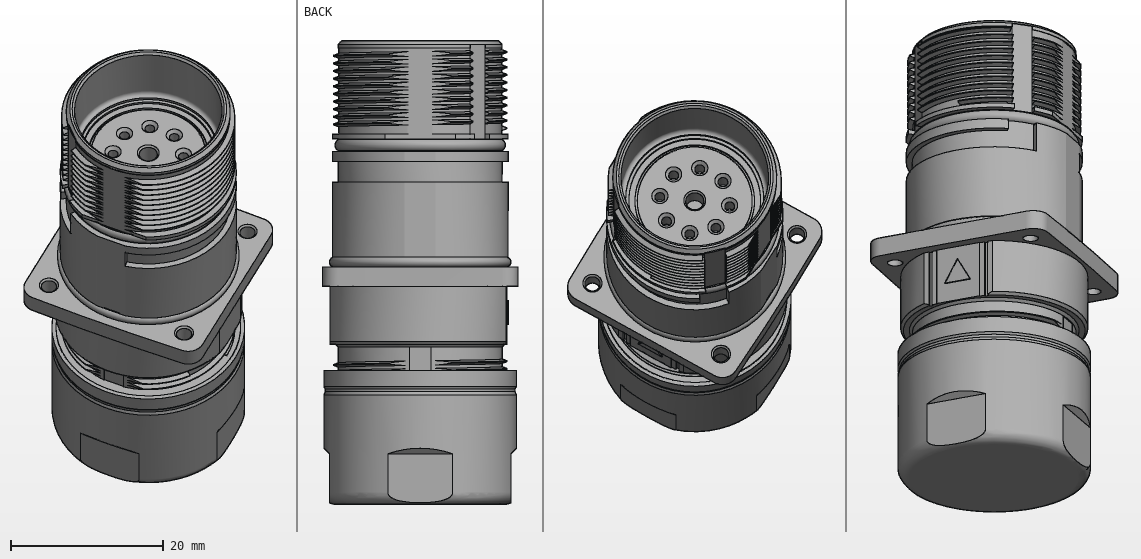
import cadquery as cq
import math

nut_top = 17.6
body_bottom = 21.0
flange_bottom = 28.65
flange_top = 31.2
collar_bottom = 32.5
recess_bottom = 42.35
rim_bottom = 45.05
collar_top = 46.4
seal_top = 48.0
relief_top = 60.0
total_height = 60.95

nut_radius = 12.7
body_radius = 12.3
collar_radius = 11.6
core_radius = 10.8
crest_radius = 11.4

nut_edge_radius = 1.5
nut_groove_depth = 0.2
nut_groove_top = 15.5
nut_groove_floor_top = 15.2
nut_groove_floor_bottom = 14.8
nut_groove_bottom = 14.4
nut_recess_radius = 12.1
nut_recess_depth = 0.3
wrench_flat_offset = 11.95
wrench_flat_top = 6.65
wrench_ledge_rise = 0.75
ledge_reach = nut_radius - wrench_flat_offset

body_chamfer = 0.35
pad_offset = 11.4
pad_half_width = 3.1
side_flat_offset = 11.3
side_groove_inner = 3.8
side_groove_outer = 4.25
side_groove_depth = 0.3
arrow_base_z = 23.65
arrow_height = 3.15
arrow_half_width = 1.8
arrow_relief = 0.2
key_flat_offset = 11.9

flange_size = 25.7
flange_bow = 0.25
flange_corner = 2.1
mount_hole_offset = 9.8
mount_hole_diameter = 2.0
mount_hole_chamfer = 0.25

collar_flat_offset = 11.4
recess_start = -80.0
recess_end = 233.4
rim_end = 214.0

lower_ring_outer = 11.95
upper_ring_outer = 11.2

thread_start_z = 49.4
thread_start_angle = 180
thread_length = 10.1
thread_turns = 10.1
thread_pitch = thread_length / thread_turns
thread_root_width = 0.75
thread_crest_width = 0.1
thread_embed = 0.2
thread_relief = 0.05
relief_radius = core_radius - thread_relief
neck_thread_start_z = 17.3
neck_thread_start_angle = 0
neck_thread_turns = 1.9
stop_ring_radius = 11.6
stop_ring_height = 0.6
slot_offset = 10.6
y_flat_width = 2 * math.sqrt(relief_radius**2 - slot_offset**2)
diagonal_slot_width = 2.8
neck_slot_width = 2.8
diagonal_slot_angles = (135, 225)

front_slots = {90: y_flat_width, 135: diagonal_slot_width, 225: diagonal_slot_width, 270: y_flat_width}
neck_slots = {90: neck_slot_width, 270: neck_slot_width}

neck_cone_radius = 11.15
neck_cone_height = 0.35

top_chamfer = 0.5
mouth_radius = 10.0
bore_radius = 9.7
bore_mouth_depth = 0.3
ledge_z = 53.45
insert_z = 52.2
insert_edge_radius = 8.65
seat_radius = 9.1
seat_z = 52.5
ledge_round = bore_radius - seat_radius
insert_groove_outer = 7.85
insert_groove_inner = 7.55
insert_groove_depth = 0.3
contact_count = 8
contact_circle_radius = 4.65
contact_diameter = 1.3
contact_mouth_diameter = 2.15
centre_diameter = 2.4
centre_mouth_diameter = 2.85
contact_depth = 3.05

overlap = 0.6
cutter_radius = 18.3


def cylinder(radius, bottom, top):
    return cq.Workplane("XY").workplane(offset=bottom).circle(radius).extrude(top - bottom)


def tube(outer, inner, bottom, top):
    return (
        cq.Workplane("XY").workplane(offset=bottom)
        .circle(outer).circle(inner).extrude(top - bottom)
    )


def radial_block(inner, outer, width, bottom, top, angle):
    """Block with one face square to the radius at `inner`, turned to `angle` degrees."""
    block = cq.Workplane("XY").box(outer - inner, width, top - bottom, centered=(False, True, False))
    return block.translate((inner, 0, bottom)).rotate((0, 0, 0), (0, 0, 1), angle)


def ring_sector(inner, outer, bottom, top, start, end):
    """Part of a ring between two angles in degrees."""
    middle = (start + end) / 2

    def polar(radius, angle):
        turn = math.radians(angle)
        return radius * math.cos(turn), radius * math.sin(turn)

    return (
        cq.Workplane("XY").workplane(offset=bottom)
        .moveTo(*polar(inner, start))
        .lineTo(*polar(outer, start))
        .threePointArc(polar(outer, middle), polar(outer, end))
        .lineTo(*polar(inner, end))
        .threePointArc(polar(inner, middle), polar(inner, start))
        .close()
        .extrude(top - bottom)
    )


def o_ring(outer_radius, bottom, top):
    """Ring with a round section that fills the gap between two heights."""
    section_radius = (top - bottom) / 2
    return (
        cq.Workplane("XZ")
        .center(outer_radius - section_radius, (bottom + top) / 2)
        .circle(section_radius)
        .revolve(360, (section_radius - outer_radius, 0), (section_radius - outer_radius, 1))
    )


def thread_ridge(start_z, start_angle, end_angle):
    """Right-hand helical ridge between two angles; `start_z` is its height at `start_angle`."""
    height = thread_pitch * (end_angle - start_angle) / 360
    inner = core_radius - thread_embed
    path = cq.Workplane(cq.Wire.makeHelix(thread_pitch, height, core_radius))
    ridge = (
        cq.Workplane("XZ")
        .polyline([
            (inner, -thread_root_width / 2),
            (crest_radius, -thread_crest_width / 2),
            (crest_radius, thread_crest_width / 2),
            (inner, thread_root_width / 2),
        ])
        .close()
        .sweep(path, isFrenet=True)
    )
    ridge = ridge.rotate((0, 0, 0), (0, 0, 1), start_angle).translate((0, 0, start_z))
    ridge = cut_y_flats(ridge, 2 * cutter_radius, start_z - thread_pitch, start_z + height + thread_pitch)
    return ridge.val()


def cut_y_flats(shape, width, bottom, top):
    """Flatten both Y sides of a neck or its thread between two heights."""
    for angle in (90, 270):
        shape = shape.cut(radial_block(slot_offset, cutter_radius, width, bottom, top, angle))
    return shape


def interrupted_thread(start_z, turns, start_angle, slot_widths):
    """Ridges of one helix, left out wherever a slot (angle: width) crosses it."""
    end_angle = start_angle + 360 * turns
    ridges = []
    ridge_start = start_angle
    for turn in range(math.ceil(end_angle / 360) + 1):
        for slot_angle, width in slot_widths.items():
            slot_centre = 360 * turn + slot_angle
            half_gap = math.degrees(math.asin(width / 2 / relief_radius))
            ridge_end = min(slot_centre - half_gap, end_angle)
            if ridge_end > ridge_start:
                climb = thread_pitch * (ridge_start - start_angle) / 360
                ridges.append(thread_ridge(start_z + climb, ridge_start, ridge_end))
            ridge_start = max(ridge_start, slot_centre + half_gap)
    return ridges


def hole_with_cone(x, y, diameter, mouth_diameter):
    """Cutter for a blind contact hole with a 45 degree countersink in the insert face."""
    cone_depth = (mouth_diameter - diameter) / 2
    return (
        cq.Workplane("XZ")
        .polyline([
            (0, insert_z - contact_depth),
            (diameter / 2, insert_z - contact_depth),
            (diameter / 2, insert_z - cone_depth),
            (mouth_diameter / 2, insert_z),
            (0, insert_z),
        ])
        .close()
        .revolve(360, (0, 0), (0, 1))
        .translate((x, y, 0))
    )


def make_nut():
    groove_radius = nut_radius - nut_groove_depth
    nut = (
        cq.Workplane("XZ")
        .moveTo(0, 0)
        .lineTo(nut_radius - nut_edge_radius, 0)
        .radiusArc((nut_radius, nut_edge_radius), -nut_edge_radius)
        .lineTo(nut_radius, nut_groove_bottom)
        .lineTo(groove_radius, nut_groove_floor_bottom)
        .lineTo(groove_radius, nut_groove_floor_top)
        .lineTo(nut_radius, nut_groove_top)
        .lineTo(nut_radius, nut_top)
        .lineTo(nut_recess_radius, nut_top)
        .lineTo(nut_recess_radius, nut_top - nut_recess_depth)
        .lineTo(0, nut_top - nut_recess_depth)
        .close()
        .revolve(360, (0, 0), (0, 1))
    )
    flat_cutter = (
        cq.Workplane("XZ")
        .polyline([
            (wrench_flat_offset, -overlap),
            (wrench_flat_offset, wrench_flat_top),
            (wrench_flat_offset + ledge_reach, wrench_flat_top + wrench_ledge_rise),
            (cutter_radius, wrench_flat_top + wrench_ledge_rise),
            (cutter_radius, -overlap),
        ])
        .close()
        .extrude(nut_radius, both=True)
    )
    for angle in (0, 90, 180, 270):
        nut = nut.cut(flat_cutter.rotate((0, 0, 0), (0, 0, 1), angle))
    return nut


def make_rear_body():
    body = cylinder(body_radius, body_bottom, flange_bottom).faces("<Z").chamfer(body_chamfer)

    for side in (-1, 1):
        flat_width = body_radius - pad_half_width
        flat = radial_block(side_flat_offset, cutter_radius, flat_width, body_bottom, flange_bottom, 180)
        body = body.cut(flat.translate((0, side * (pad_half_width + flat_width / 2), 0)))
        groove_width = side_groove_outer - side_groove_inner
        groove = radial_block(
            side_flat_offset - side_groove_depth, cutter_radius, groove_width,
            body_bottom, flange_bottom, 180,
        )
        body = body.cut(groove.translate((0, side * (side_groove_inner + groove_width / 2), 0)))
    body = body.cut(
        radial_block(pad_offset, cutter_radius, 2 * pad_half_width, body_bottom, flange_bottom, 180)
    )
    arrow = (
        cq.Workplane("YZ").workplane(offset=-pad_offset - arrow_relief)
        .polyline([
            (-arrow_half_width, arrow_base_z),
            (arrow_half_width, arrow_base_z),
            (0, arrow_base_z + arrow_height),
        ])
        .close()
        .extrude(arrow_relief + overlap)
    )
    key_flat = radial_block(
        key_flat_offset, cutter_radius, 2 * body_radius, body_bottom, flange_bottom, 0
    )
    return body.cut(key_flat).union(arrow)


def make_flange():
    """Square plate with two bowed sides and four countersunk mounting holes."""
    half = flange_size / 2
    side_y = half - flange_bow
    flange = (
        cq.Workplane("XY").workplane(offset=flange_bottom)
        .moveTo(-half, -side_y)
        .threePointArc((0, -half), (half, -side_y))
        .lineTo(half, side_y)
        .threePointArc((0, half), (-half, side_y))
        .close()
        .extrude(flange_top - flange_bottom)
        .edges("|Z").fillet(flange_corner)
    )
    return (
        flange.faces(">Z").workplane(origin=(0, 0, flange_top))
        .rect(2 * mount_hole_offset, 2 * mount_hole_offset, forConstruction=True)
        .vertices()
        .cskHole(mount_hole_diameter, mount_hole_diameter + 2 * mount_hole_chamfer, 90)
    )


def make_collar():
    collar = cylinder(collar_radius, collar_bottom, collar_top)
    for angle in (90, 270):
        collar = collar.cut(
            radial_block(
                collar_flat_offset, cutter_radius, 2 * collar_radius,
                collar_bottom, collar_top, angle,
            )
        )
    recess = ring_sector(
        core_radius, cutter_radius, recess_bottom, rim_bottom, recess_start, recess_end
    )
    entry = ring_sector(core_radius, cutter_radius, rim_bottom, collar_top, rim_end, recess_end)
    return collar.cut(recess).cut(entry)


def make_front_neck():
    stop_ring_top = seal_top + stop_ring_height
    neck = (
        cq.Workplane("XZ")
        .polyline([
            (0, flange_top),
            (core_radius, flange_top),
            (core_radius, seal_top),
            (stop_ring_radius, seal_top),
            (stop_ring_radius, stop_ring_top),
            (relief_radius, stop_ring_top),
            (relief_radius, relief_top),
            (core_radius, relief_top),
            (core_radius, total_height - top_chamfer),
            (core_radius - top_chamfer, total_height),
            (0, total_height),
        ])
        .close()
        .revolve(360, (0, 0), (0, 1))
    )
    neck = cut_y_flats(neck, 2 * cutter_radius, seal_top, relief_top)
    slot_top = total_height - top_chamfer
    for angle in diagonal_slot_angles:
        neck = neck.cut(
            radial_block(slot_offset, cutter_radius, diagonal_slot_width, seal_top, slot_top, angle)
        )
    return neck


def make_rear_neck():
    neck = cylinder(core_radius, nut_top - overlap, body_bottom + overlap)
    cone_bottom = body_bottom - neck_cone_height
    neck = cut_y_flats(neck, neck_slot_width, nut_top - overlap, cone_bottom)
    cone = (
        cq.Workplane("XZ")
        .polyline([
            (0, cone_bottom),
            (core_radius, cone_bottom),
            (neck_cone_radius, body_bottom),
            (0, body_bottom),
        ])
        .close()
        .revolve(360, (0, 0), (0, 1))
    )
    return neck.union(cone)


def make_socket_cutter():
    mouth_z = total_height - bore_mouth_depth
    socket = (
        cq.Workplane("XZ")
        .moveTo(0, insert_z)
        .lineTo(insert_edge_radius, insert_z)
        .lineTo(insert_edge_radius, seat_z)
        .lineTo(seat_radius, seat_z)
        .lineTo(seat_radius, ledge_z - ledge_round)
        .radiusArc((bore_radius, ledge_z), -ledge_round)
        .lineTo(bore_radius, mouth_z)
        .lineTo(mouth_radius, total_height)
        .lineTo(0, total_height)
        .close()
        .revolve(360, (0, 0), (0, 1))
    )
    insert_groove = tube(
        insert_groove_outer, insert_groove_inner, insert_z - insert_groove_depth, insert_z
    )
    cutter = socket.union(insert_groove)
    cutter = cutter.union(hole_with_cone(0, 0, centre_diameter, centre_mouth_diameter))
    for index in range(contact_count):
        angle = 2 * math.pi * (index + 0.5) / contact_count
        x = contact_circle_radius * math.cos(angle)
        y = contact_circle_radius * math.sin(angle)
        cutter = cutter.union(hole_with_cone(x, y, contact_diameter, contact_mouth_diameter))
    return cutter


housing = (
    make_nut()
    .union(make_rear_neck())
    .union(make_rear_body())
    .union(make_flange())
    .union(make_front_neck())
    .union(make_collar())
    .union(o_ring(lower_ring_outer, flange_top, collar_bottom))
    .union(o_ring(upper_ring_outer, collar_top, seal_top))
    .cut(make_socket_cutter())
)
ridges = interrupted_thread(thread_start_z, thread_turns, thread_start_angle, front_slots)
ridges += interrupted_thread(neck_thread_start_z, neck_thread_turns, neck_thread_start_angle, neck_slots)
result = cq.Workplane(housing.val().fuse(*ridges))